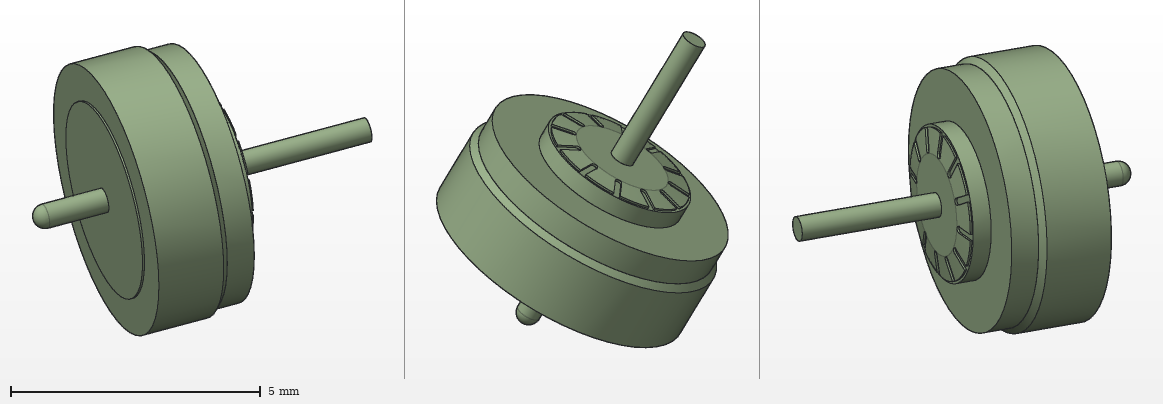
import cadquery as cq
import math


pad_radius = 2.05
pad_thickness = 0.04
drum_diameter = 5.63
drum_length = 1.53
drum_chamfer = 0.13
flange_radius = 2.69
flange_rear_y = 2.11
boss_radius = 1.62
boss_rear_y = 2.5

shaft_radius = 0.25
shaft_length = 7.21
shaft_front_y = -1.57
shaft_rear_y = shaft_front_y + shaft_length

spring_radius = 1.57
spring_hub_radius = 1.045
spring_thickness = 0.04
spring_drop = 0.07
spring_slope = math.atan(spring_drop / (spring_radius - spring_hub_radius))
spring_rim_y = boss_rear_y + spring_thickness * math.cos(spring_slope)
spring_hub_y = spring_rim_y + spring_drop

slot_count = 12
slot_width = 0.145
slot_offset = 0.08
slot_end_center = 1.125


def disc(radius, start_y, end_y):
    """Cylinder about the Y axis from start_y to end_y."""
    return cq.Workplane("XZ", origin=(0, start_y, 0)).circle(radius).extrude(start_y - end_y)


def make_housing():
    """Pad, drum, flange and boss in one solid, bored through for the shaft."""
    pad = disc(pad_radius, -pad_thickness, 0)
    drum = disc(drum_diameter / 2, 0, drum_length).faces(">Y").chamfer(drum_chamfer)
    flange = disc(flange_radius, drum_length, flange_rear_y)
    boss = disc(boss_radius, flange_rear_y, boss_rear_y)
    bore = disc(shaft_radius, -pad_thickness, boss_rear_y)
    return drum.union(pad).union(flange).union(boss).cut(bore)


def make_slot(angle):
    """Cutter for one slot: a round inner end and parallel sides out past the rim."""
    slot_length = spring_radius - slot_end_center + slot_width
    end = (
        cq.Workplane("XZ", origin=(0, boss_rear_y, 0))
        .center(-slot_offset, slot_end_center)
        .circle(slot_width / 2)
        .extrude(boss_rear_y - spring_hub_y)
    )
    sides = (
        cq.Workplane("XZ", origin=(0, boss_rear_y, 0))
        .center(-slot_offset, slot_end_center + slot_length / 2)
        .rect(slot_width, slot_length)
        .extrude(boss_rear_y - spring_hub_y)
    )
    return end.union(sides).rotate((0, 0, 0), (0, 1, 0), angle)


def make_spring():
    """Slotted spring disc of constant thickness, its rim cut square to the slope."""
    lower_rim_radius = spring_radius - spring_thickness * math.sin(spring_slope)
    lower_hub_radius = spring_hub_radius - spring_thickness * math.tan(spring_slope / 2)
    lower_hub_y = spring_hub_y - spring_thickness
    spring = (
        cq.Workplane("XY")
        .polyline(
            [
                (0, lower_hub_y),
                (lower_hub_radius, lower_hub_y),
                (lower_rim_radius, boss_rear_y),
                (spring_radius, spring_rim_y),
                (spring_hub_radius, spring_hub_y),
                (0, spring_hub_y),
            ]
        )
        .close()
        .revolve(360, (0, 0, 0), (0, 1, 0))
    )
    for index in range(slot_count):
        spring = spring.cut(make_slot(index * 360 / slot_count))
    return spring


def make_shaft():
    """Straight shaft with a rounded front tip, in one solid with its spring disc."""
    tip_center_y = shaft_front_y + shaft_radius
    rod = disc(shaft_radius, tip_center_y, shaft_rear_y)
    tip = cq.Workplane("XY", origin=(0, tip_center_y, 0)).sphere(shaft_radius)
    return rod.union(tip).union(make_spring())


housing = make_housing().solids()
shaft = make_shaft().solids()

result = cq.Compound.makeCompound([housing.val(), shaft.val()])